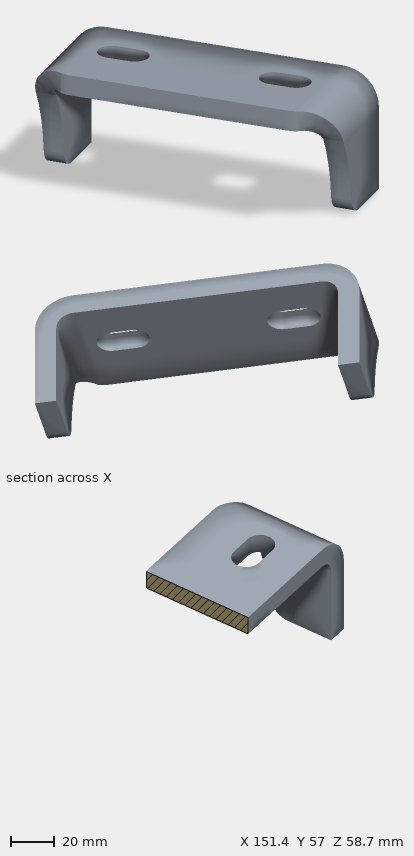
import cadquery as cq
import math

length = 151.4
depth = 57.0
height = 58.7
thickness = 10.0
bend_radius = 17.5
bend_angle = 90.0
cut_margin = 1.5

leg_top_depth = 43.1
bridge_end_depth = 56.2
bridge_blend_length = 4.5
leg_curve_depth = 36.8
leg_curve_height = 25.9
leg_curve_end_depth = 33.5
foot_round_height = 8.0
foot_round_radius = 9.1
foot_depth = 24.5

slot_length = 24.8
slot_width = 13.8
slot_spacing = 79.6
slot_back_distance = 25.3

half_length = length / 2
half_bridge = half_length - bend_radius
bend_height = height - bend_radius
inner_radius = bend_radius - thickness
front_y = -depth
bridge_end_y = -bridge_end_depth
leg_top_y = -leg_top_depth
diagonal = math.sqrt(0.5)


def sector(y, inner, outer):
    """Quarter ring of the left bend, drawn on the XZ plane at the given y."""
    return (
        cq.Workplane("XZ", origin=(-half_bridge, y, bend_height))
        .moveTo(-outer, 0)
        .threePointArc((-outer * diagonal, outer * diagonal), (0, outer))
        .lineTo(0, inner)
        .threePointArc((-inner * diagonal, inner * diagonal), (-inner, 0))
        .close()
    )


def make_bridge():
    """Flat plate whose front corners are rounded into the bends."""
    blend_x = half_bridge - bridge_blend_length
    drop = depth - bridge_end_depth
    radius = (bridge_blend_length**2 + drop**2) / (2 * drop)
    return (
        cq.Workplane("XY", origin=(0, 0, height - thickness))
        .moveTo(-half_bridge, 0)
        .lineTo(half_bridge, 0)
        .lineTo(half_bridge, bridge_end_y)
        .radiusArc((blend_x, front_y), radius)
        .lineTo(-blend_x, front_y)
        .radiusArc((-half_bridge, bridge_end_y), radius)
        .close()
        .extrude(thickness)
    )


def make_bend():
    """Left bend; its front face winds steadily forward from leg to bridge."""
    rise = bridge_end_depth - leg_top_depth
    bend = sector(0, inner_radius, bend_radius).extrude(bridge_end_depth)
    waste_profile = sector(bridge_end_y, inner_radius - cut_margin, bend_radius + cut_margin)
    waste = waste_profile.twistExtrude(-rise, -bend_angle)
    return bend.cut(waste)


def make_leg():
    """Left leg with a curved front edge and a rounded toe."""
    return (
        cq.Workplane("YZ", origin=(-half_length, 0, 0))
        .moveTo(0, 0)
        .lineTo(0, bend_height)
        .lineTo(leg_top_y, bend_height)
        .threePointArc((-leg_curve_depth, leg_curve_height), (-leg_curve_end_depth, foot_round_height))
        .radiusArc((-foot_depth, 0), -foot_round_radius)
        .close()
        .extrude(thickness)
    )


def make_slots():
    """Round-ended cutters spaced evenly about the middle of the bridge."""
    return (
        cq.Workplane("XY", origin=(0, -slot_back_distance, height - thickness))
        .rarray(slot_spacing, 1.5, 2, 1)
        .slot2D(slot_length, slot_width)
        .extrude(thickness)
    )


left_side = make_bend().union(make_leg())
right_side = left_side.mirror("YZ")
result = make_bridge().union(left_side).union(right_side).cut(make_slots())